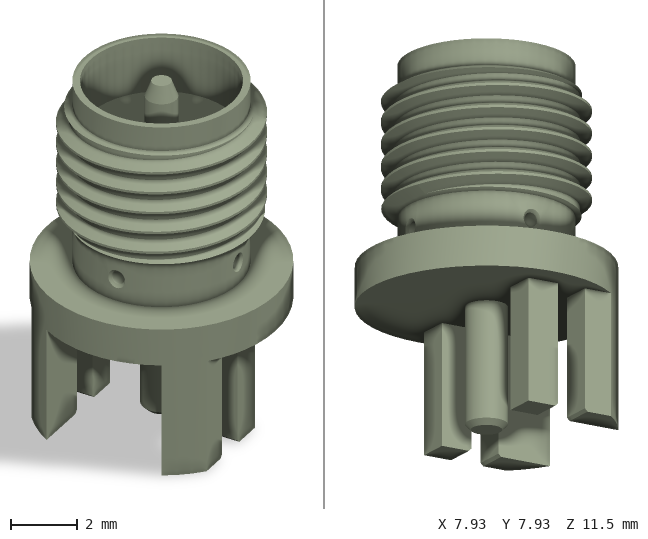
import cadquery as cq
import math

total_height = 11.51
flange_bottom = 3.89
flange_thickness = 1.27
flange_top = flange_bottom + flange_thickness
thread_bottom = 6.69
thread_top = 10.68
cavity_depth = 1.9
cavity_floor = total_height - cavity_depth

flange_diameter = 7.93
flange_radius = flange_diameter / 2
barrel_radius = 2.68
bore_radius = 2.45
flange_bore_radius = 1.5

thread_radius = 3.18
thread_root_radius = 2.82
thread_pitch = 0.7
crest_width = 0.08
thread_flank_angle = 30.0
flank_slope = math.tan(math.radians(thread_flank_angle))
crest_height_at_plus_x = 10.31
ridge_embedding = 0.05
trim_clearance = 0.12

leg_outer_x = 3.05
leg_width = 1.05
leg_inner_x = leg_outer_x - leg_width
back_leg_front_y = -0.68
back_leg_depth = 1.04
back_leg_back_y = back_leg_front_y + back_leg_depth
front_leg_back_y = -1.62
leg_chamfer = 0.09

tail_radius = 0.65
tail_chamfer = 0.17
contact_radius = 0.51
contact_tip_radius = 0.31
contact_cone_height = 0.53

epoxy_height = (flange_top + thread_bottom) / 2
epoxy_radius = 0.22
epoxy_mouth_radius = 0.31
epoxy_mouth_depth = 0.09
epoxy_reach = barrel_radius - epoxy_mouth_depth


def cylinder(radius, bottom, top):
    return cq.Workplane("XY").workplane(offset=bottom).circle(radius).extrude(top - bottom)


def revolve_about_z(points):
    return cq.Workplane("XZ").polyline(points).close().revolve(360, (0, 0, 0), (0, 1, 0))


def make_envelope():
    """Cylinder just clear of the thread crests, coned at both ends down to the barrel."""
    outer_radius = thread_radius + trim_clearance
    cone_height = (outer_radius - barrel_radius) * flank_slope
    return revolve_about_z([
        (0, thread_bottom),
        (barrel_radius, thread_bottom),
        (outer_radius, thread_bottom + cone_height),
        (outer_radius, thread_top - cone_height),
        (barrel_radius, thread_top),
        (0, thread_top),
    ])


def make_thread():
    """Helical ridge on a plain core, trimmed by a cone at each end."""
    turns = math.ceil((thread_top - thread_bottom) / thread_pitch) + 2
    start_height = crest_height_at_plus_x + thread_pitch * (1 - turns)
    base_radius = thread_root_radius - ridge_embedding
    half_crest = crest_width / 2
    half_base = half_crest + (thread_radius - base_radius) * flank_slope
    path = cq.Wire.makeHelix(
        thread_pitch, turns * thread_pitch, thread_root_radius, cq.Vector(0, 0, start_height)
    )
    ridge = (
        cq.Workplane("XZ")
        .polyline([
            (base_radius, start_height - half_base),
            (thread_radius, start_height - half_crest),
            (thread_radius, start_height + half_crest),
            (base_radius, start_height + half_base),
        ])
        .close()
        .sweep(cq.Workplane(path), isFrenet=True)
    )
    core = cylinder(thread_root_radius, start_height, start_height + turns * thread_pitch)
    return core.union(ridge).intersect(make_envelope())


def make_leg(side, front_y, back_y, chamfered_edge):
    """Rectangular leg on the -X or +X side, chamfered at the tip facing the board."""
    center_x = side * (leg_outer_x + leg_inner_x) / 2
    return (
        cq.Workplane("XY")
        .center(center_x, (front_y + back_y) / 2)
        .rect(leg_width, back_y - front_y)
        .extrude(flange_top)
        .faces("<Z")
        .edges(chamfered_edge)
        .chamfer(leg_chamfer)
    )


def make_legs():
    legs = cq.Workplane("XY")
    for side in (-1, 1):
        legs = legs.add(make_leg(side, back_leg_front_y, back_leg_back_y, "<Y"))
        legs = legs.add(make_leg(side, -flange_radius, front_leg_back_y, ">Y"))
    return legs.combine().intersect(cylinder(flange_radius, 0, flange_top))


def make_epoxy_cross():
    """Two crossed rods with a spherical dimple in each of the four ends."""
    rods = cq.Workplane("XY")
    for plane in ("XZ", "YZ"):
        rod = cq.Workplane(plane).center(0, epoxy_height).circle(epoxy_radius)
        rods = rods.union(rod.extrude(epoxy_reach, both=True))
    for quarter in range(4):
        angle = math.radians(90 * quarter)
        end = (epoxy_reach * math.cos(angle), epoxy_reach * math.sin(angle), epoxy_height)
        rods = rods.cut(cq.Workplane("XY").sphere(epoxy_radius).translate(end))
    return rods


def make_epoxy_bores():
    """Crossed through bores, countersunk at the outside of the neck."""
    bores = cq.Workplane("XY")
    for plane in ("XZ", "YZ"):
        bore = cq.Workplane(plane).center(0, epoxy_height).circle(epoxy_radius)
        bores = bores.union(bore.extrude(barrel_radius, both=True))
    outward = cq.Vector(1, 0, 0)
    for quarter in range(4):
        mouth = cq.Workplane(cq.Solid.makeCone(
            epoxy_radius, epoxy_mouth_radius, epoxy_mouth_depth,
            cq.Vector(epoxy_reach, 0, epoxy_height), outward,
        ))
        bores = bores.union(mouth.rotate((0, 0, 0), (0, 0, 1), 90 * quarter))
    return bores


def make_housing(epoxy_bores):
    return (
        cylinder(flange_radius, flange_bottom, flange_top)
        .union(cylinder(barrel_radius, flange_top, total_height))
        .union(make_thread())
        .union(make_legs())
        .cut(cylinder(bore_radius, flange_top, total_height))
        .cut(cylinder(flange_bore_radius, flange_bottom, flange_top))
        .cut(epoxy_bores)
    )


def make_pin_blank():
    return revolve_about_z([
        (0, 0),
        (tail_radius - tail_chamfer, 0),
        (tail_radius, tail_chamfer),
        (tail_radius, flange_top),
        (contact_radius, flange_top),
        (contact_radius, total_height - contact_cone_height),
        (contact_tip_radius, total_height),
        (0, total_height),
    ])


def make_insulator(pin_blank, epoxy_bores):
    """Stepped plug that fills the bore up to the cavity floor."""
    return (
        cylinder(bore_radius, flange_top, cavity_floor)
        .union(cylinder(flange_bore_radius, flange_bottom, flange_top))
        .cut(pin_blank)
        .cut(epoxy_bores)
    )


epoxy_bores = make_epoxy_bores()
pin_blank = make_pin_blank()

housing = make_housing(epoxy_bores)
insulator = make_insulator(pin_blank, epoxy_bores)
pin = pin_blank.cut(epoxy_bores)
epoxy = make_epoxy_cross()

bodies = (housing, insulator, pin, epoxy)
result = cq.Compound.makeCompound([body.solids().val() for body in bodies])